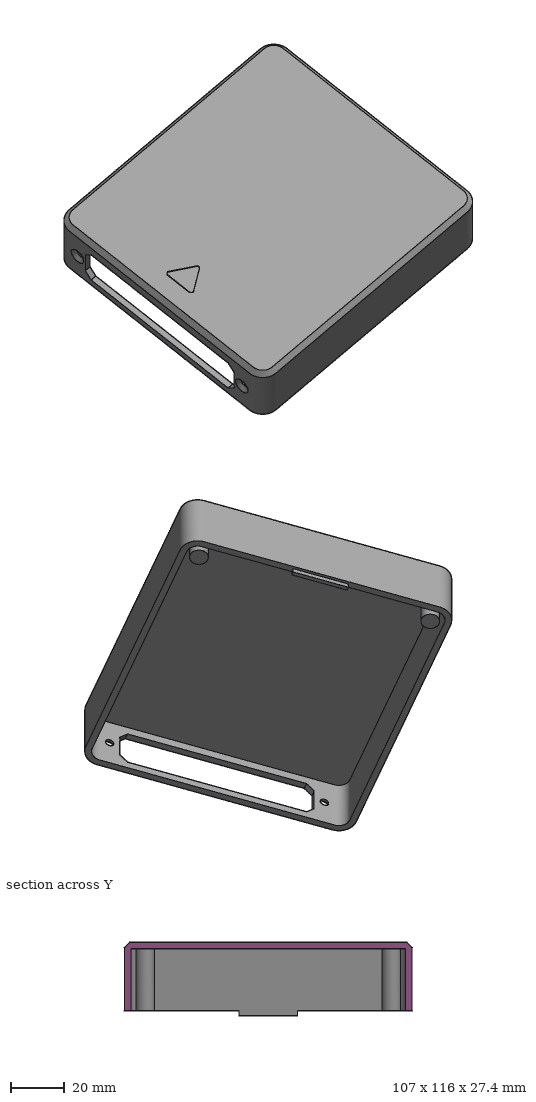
import cadquery as cq

width = 107.0
length = 116.0
total_height = 27.4
tab_height = 1.9
body_height = total_height - tab_height
corner_radius = 7.0
top_chamfer = 2.0
wall = 2.5

window_width = 76.8
window_bottom = 3.2
window_height = 16.0
window_chamfer = 3.0

hole_spacing = 84.9
hole_height = 11.5
hole_diameter = 3.2
countersink_diameter = 6.5

tab_width = 21.8
tab_thickness = 1.5

post_radius = 3.5
post_inset = 7.8

arrow_base = 14.6
arrow_rise = 11.6
arrow_base_offset = 10.1
arrow_radius = 0.9
arrow_depth = 0.5


def make_shell():
    """Chamfered, round-cornered cover hollowed from below."""
    body = cq.Workplane("XY").rect(width, length).extrude(body_height)
    body = body.edges("|Z").fillet(corner_radius)
    body = body.faces(">Z").edges().chamfer(top_chamfer)
    cavity = cq.Workplane("XY").rect(width - 2 * wall, length - 2 * wall).extrude(body_height - wall)
    cavity = cavity.edges("|Z").fillet(corner_radius - wall)
    return body.cut(cavity)


def make_window():
    """Cutter for the window through the front wall."""
    cutter = cq.Workplane("XY").box(window_width, wall, window_height, centered=(True, False, False))
    cutter = cutter.edges("|Y").chamfer(window_chamfer)
    return cutter.translate((0, -length / 2, window_bottom))


def drill_screw_holes(body):
    """Add a countersunk hole on each side of the window."""
    front = cq.Workplane("XZ", origin=(0, -length / 2, hole_height))
    screws = front.pushPoints([(-hole_spacing / 2, 0), (hole_spacing / 2, 0)])
    cutters = screws.circle(hole_diameter / 2).extrude(-wall)
    body = body.cut(cutters)
    sink_depth = (countersink_diameter - hole_diameter) / 2
    for side in (-1, 1):
        cone = cq.Solid.makeCone(
            countersink_diameter / 2,
            hole_diameter / 2,
            sink_depth,
            cq.Vector(side * hole_spacing / 2, -length / 2, hole_height),
            cq.Vector(0, 1, 0),
        )
        body = body.cut(cq.Workplane(obj=cone))
    return body


def make_posts():
    """Two posts hanging from the top panel, inset equally from rear and side walls."""
    post_x = width / 2 - post_inset
    post_y = length / 2 - post_inset
    posts = cq.Workplane("XY").pushPoints([(-post_x, post_y), (post_x, post_y)])
    return posts.circle(post_radius).extrude(body_height - wall / 2)


def make_tab():
    """Tab flush with the inside of the rear wall, reaching below the rim."""
    tab = cq.Workplane("XY").box(tab_width, tab_thickness, tab_height + wall, centered=(True, False, False))
    return tab.translate((0, length / 2 - wall, -tab_height))


def make_arrow():
    """Cutter for the rounded triangular recess."""
    base_y = -length / 2 + arrow_base_offset
    arrow = (
        cq.Workplane("XY", origin=(0, base_y, body_height - arrow_depth))
        .polyline([(-arrow_base / 2, 0), (arrow_base / 2, 0), (0, arrow_rise)])
        .close()
        .extrude(arrow_depth)
    )
    return arrow.edges("|Z").fillet(arrow_radius)


result = make_shell().cut(make_window())
result = drill_screw_holes(result)
result = result.union(make_posts()).union(make_tab()).cut(make_arrow())